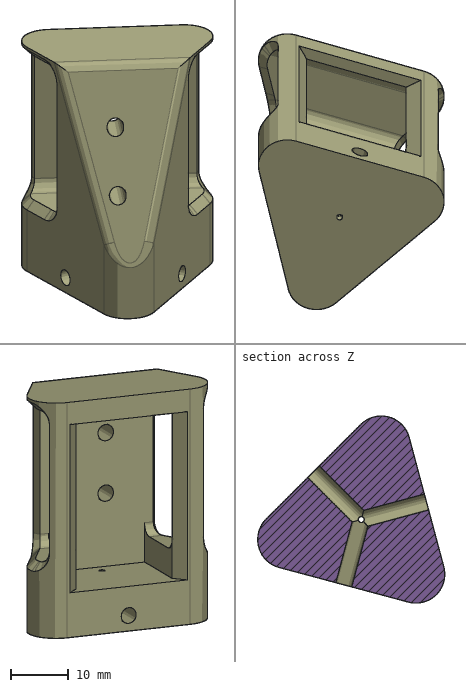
import math

import cadquery as cq


triangle_height = 35.0
corner_radius = 5.0
body_height = 42.0
turn_about_z = 45.0

inradius = triangle_height / 3
circumradius = 2 * inradius
back_y = inradius

slope_top_depth = 15.8
slope_tip_depth = 30.0
slope_tip_z = 10.0
slope_fillet = 2.0

cavity_width = 18.0
cavity_depth = 14.0
cavity_floor_z = 8.0
cavity_ceiling_z = 38.0
mouth_flare = 2.0

window_near_depth = 2.0
window_floor_z = 13.0
window_ceiling_z = 40.0
window_corner_radius = 2.0
window_chamfer = 1.5

side_hole_diameter = 2.8
side_hole_z = 2.8
floor_hole_diameter = 1.0
slope_hole_diameter = 2.9
slope_hole_x = -1.7
slope_hole_heights = (21.05, 31.85)

oversize = 60.0


def y_at_depth(depth):
    """Y position at a given depth in front of the back face."""
    return back_y - depth


def make_body():
    corner_angles = (30, 150, 270)
    corners = [
        (circumradius * math.cos(angle), circumradius * math.sin(angle))
        for angle in map(math.radians, corner_angles)
    ]
    prism = cq.Workplane("XY").polyline(corners).close().extrude(body_height)
    return prism.edges("|Z").fillet(corner_radius)


def cut_slope(body):
    run = slope_tip_depth - slope_top_depth
    drop = body_height - slope_tip_z
    end_depth = slope_top_depth + run * body_height / drop
    wedge = (
        cq.Workplane("YZ")
        .moveTo(y_at_depth(slope_top_depth), body_height)
        .lineTo(y_at_depth(end_depth), 0)
        .lineTo(y_at_depth(end_depth), body_height)
        .close()
        .extrude(oversize, both=True)
    )
    body = body.cut(wedge)
    slope_normal = cq.Vector(0, -drop, run)
    slope_face = body.faces(cq.selectors.ParallelDirSelector(slope_normal))
    return slope_face.edges().fillet(slope_fillet)


def cut_window(body):
    width = cavity_depth - window_near_depth
    height = window_ceiling_z - window_floor_z
    middle_y = y_at_depth((cavity_depth + window_near_depth) / 2)
    middle_z = (window_ceiling_z + window_floor_z) / 2
    opening = (
        cq.Workplane("YZ")
        .center(middle_y, middle_z)
        .rect(width, height)
        .extrude(oversize, both=True)
        .edges("|X")
        .fillet(window_corner_radius)
    )
    body = body.cut(opening)
    reach = oversize / 2
    margin = window_chamfer / 10
    rims = body.edges(
        cq.selectors.BoxSelector(
            (-reach, middle_y - width / 2 - margin, window_floor_z - margin),
            (reach, middle_y + width / 2 + margin, window_ceiling_z + margin),
        )
    ).edges("not |X")
    return rims.chamfer(window_chamfer)


def cut_cavity(body):
    half_width = cavity_width / 2
    half_mouth = half_width + mouth_flare
    cavity = (
        cq.Workplane("XY", origin=(0, 0, cavity_floor_z))
        .polyline(
            [
                (-half_mouth, back_y),
                (-half_width, y_at_depth(mouth_flare)),
                (-half_width, y_at_depth(cavity_depth)),
                (half_width, y_at_depth(cavity_depth)),
                (half_width, y_at_depth(mouth_flare)),
                (half_mouth, back_y),
            ]
        )
        .close()
        .extrude(cavity_ceiling_z - cavity_floor_z)
    )
    return body.cut(cavity)


def hole_along_y(diameter, x, z, start_y, end_y):
    radius = diameter / 2
    direction = cq.Vector(0, math.copysign(1, end_y - start_y), 0)
    return cq.Solid.makeCylinder(radius, abs(end_y - start_y), cq.Vector(x, start_y, z), direction)


def drill_side_holes(body):
    """One hole at the middle of each side, running in to the central axis."""
    for angle in (0, 120, 240):
        hole = hole_along_y(side_hole_diameter, 0, side_hole_z, 0, oversize)
        body = body.cut(cq.Workplane(hole.rotate((0, 0, 0), (0, 0, 1), angle)))
    return body


def drill_floor_hole(body):
    hole = cq.Workplane("XY").circle(floor_hole_diameter / 2).extrude(cavity_floor_z)
    return body.cut(hole)


def drill_slope_holes(body):
    """Level holes from the sloped face into the cavity."""
    for z in slope_hole_heights:
        hole = hole_along_y(slope_hole_diameter, slope_hole_x, z, 0, -oversize)
        body = body.cut(cq.Workplane(hole))
    return body


part = make_body()
part = cut_slope(part)
part = cut_window(part)
part = cut_cavity(part)
part = drill_side_holes(part)
part = drill_floor_hole(part)
part = drill_slope_holes(part)

result = part.rotate((0, 0, 0), (0, 0, 1), turn_about_z)